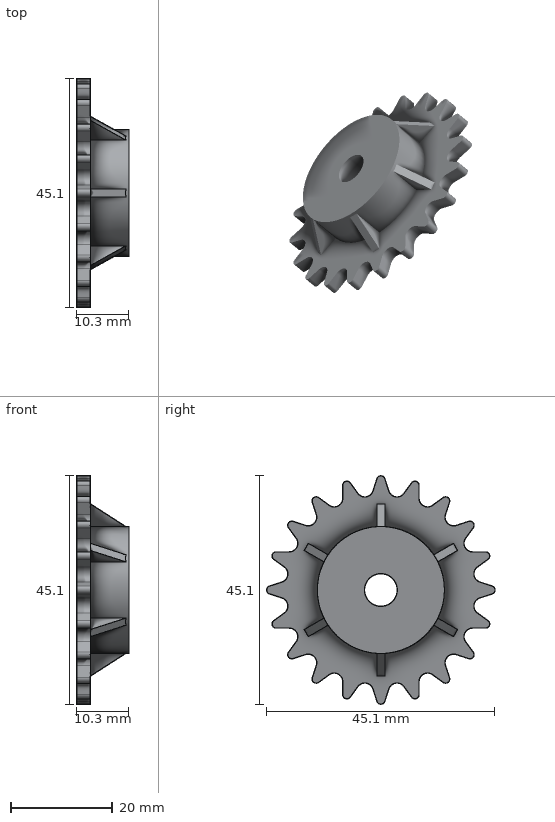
import cadquery as cq
import math

TOOTH_COUNT = 20
OUTER_RADIUS = 22.55
PITCH_RADIUS = 20.3
ROLLER_SEAT_RADIUS = 1.65
DISC_THICKNESS = 2.7
BORE_DIAMETER = 6.4

HUB_RADIUS = 12.55
TOTAL_WIDTH = 10.33

RIB_COUNT = 6
RIB_THICKNESS = 1.62
RIB_FOOT_RADIUS = 17.0
RIB_LENGTH = 7.0
RIB_ROOT_RADIUS = (BORE_DIAMETER / 2 + HUB_RADIUS) / 2

TOOTH_PITCH_ANGLE = 2 * math.pi / TOOTH_COUNT
FLANK_ANGLE = TOOTH_PITCH_ANGLE
FLANK_DISTANCE = PITCH_RADIUS * math.sin(FLANK_ANGLE + TOOTH_PITCH_ANGLE / 2) - ROLLER_SEAT_RADIUS
TIP_RADIUS = (FLANK_DISTANCE - OUTER_RADIUS * math.sin(FLANK_ANGLE)) / (1 - math.sin(FLANK_ANGLE))


def polar(radius, angle):
    """Point in the disc plane at an angle from the Y axis."""
    return (radius * math.cos(angle), radius * math.sin(angle))


def offset(point, distance, angle):
    """Point moved by a distance in the direction of an angle."""
    step = polar(distance, angle)
    return (point[0] + step[0], point[1] + step[1])


def make_toothed_disc():
    """Sprocket outline: round tips, straight flanks and round roller seats."""
    normal_turn = math.pi / 2 - FLANK_ANGLE
    first_tip = offset(polar(OUTER_RADIUS - TIP_RADIUS, 0), TIP_RADIUS, -normal_turn)
    outline = cq.Workplane("YZ").moveTo(*first_tip)
    for tooth in range(TOOTH_COUNT):
        axis = tooth * TOOTH_PITCH_ANGLE
        gap_axis = axis + TOOTH_PITCH_ANGLE / 2
        next_axis = axis + TOOTH_PITCH_ANGLE
        tip_center = polar(OUTER_RADIUS - TIP_RADIUS, axis)
        next_tip_center = polar(OUTER_RADIUS - TIP_RADIUS, next_axis)
        seat_center = polar(PITCH_RADIUS, gap_axis)
        tip_end = offset(tip_center, TIP_RADIUS, axis + normal_turn)
        seat_start = offset(seat_center, -ROLLER_SEAT_RADIUS, axis + normal_turn)
        seat_bottom = polar(PITCH_RADIUS - ROLLER_SEAT_RADIUS, gap_axis)
        seat_end = offset(seat_center, -ROLLER_SEAT_RADIUS, next_axis - normal_turn)
        next_tip_start = offset(next_tip_center, TIP_RADIUS, next_axis - normal_turn)
        outline = (
            outline.threePointArc(polar(OUTER_RADIUS, axis), tip_end)
            .lineTo(*seat_start)
            .threePointArc(seat_bottom, seat_end)
        )
        if tooth < TOOTH_COUNT - 1:
            outline = outline.lineTo(*next_tip_start)
    return outline.close().extrude(DISC_THICKNESS)


def make_hub():
    """Plain cylinder running from the disc face to the far end."""
    return cq.Workplane("YZ").circle(HUB_RADIUS).extrude(TOTAL_WIDTH)


def make_rib():
    """Rib along +Z, sloping from the disc face down to the hub surface."""
    rib_end_radius = math.sqrt(HUB_RADIUS**2 - (RIB_THICKNESS / 2) ** 2)
    slope = (RIB_FOOT_RADIUS - rib_end_radius) / RIB_LENGTH
    buried_radius = RIB_FOOT_RADIUS - slope * (TOTAL_WIDTH - DISC_THICKNESS)
    profile = [
        (0, RIB_ROOT_RADIUS),
        (0, RIB_FOOT_RADIUS),
        (DISC_THICKNESS, RIB_FOOT_RADIUS),
        (TOTAL_WIDTH, buried_radius),
        (TOTAL_WIDTH, RIB_ROOT_RADIUS),
    ]
    return cq.Workplane("XZ").polyline(profile).close().extrude(RIB_THICKNESS / 2, both=True)


result = make_toothed_disc().union(make_hub())
for index in range(RIB_COUNT):
    rib_angle = index * 360 / RIB_COUNT
    result = result.union(make_rib().rotate((0, 0, 0), (1, 0, 0), rib_angle))

bore = cq.Workplane("YZ").circle(BORE_DIAMETER / 2).extrude(TOTAL_WIDTH)
result = result.cut(bore)